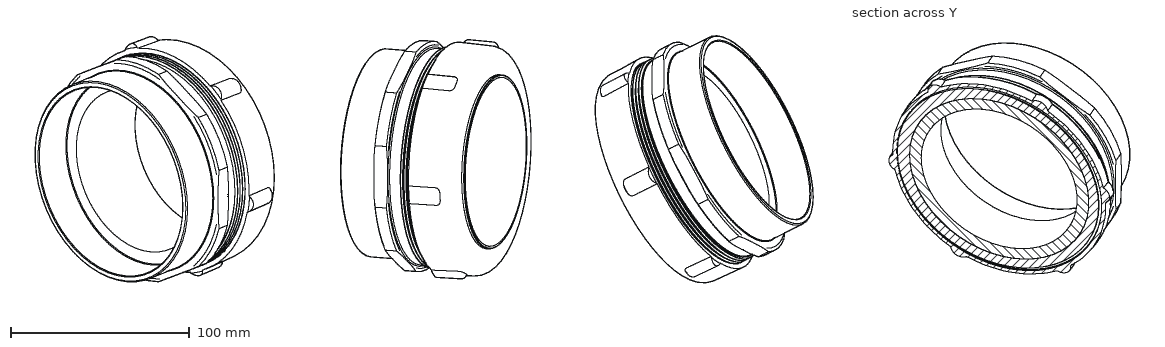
import cadquery as cq
import math


OVERALL_LENGTH = 71.0
FLANGE_START = 21.8
FLANGE_END = 30.0
NECK_CONE_LENGTH = 0.7
THREAD_START = 37.0
NUT_START = 43.8
NUT_END = 69.4
NUT_WALL = 4.0
NUT_SEAT = NUT_END - NUT_WALL
LEDGE_Y = 22.7

SPIGOT_DIA = 117.2
SPIGOT_CHAMFER = 0.7
SPIGOT_ROOT_CHAMFER = 0.4
SOCKET_DIA = 110.1
SOCKET_MOUTH_DIA = 111.0
SLEEVE_SEAT_DIA = 109.2
NECK_DIA = 121.8
NECK_CONE_DIA = 123.4
FLANGE_SIDES = 6
FLANGE_FLATS = 124.7
FLANGE_CORNER_DIA = 129.6
FLANGE_FACE_DIA = 125.8
FLANGE_CHAMFER_LENGTH = 0.7

THREAD_DIA = 124.7
THREAD_PITCH = 2.0
THREAD_ROOT_WIDTH = 1.6
THREAD_CREST_WIDTH = 0.3
THREAD_EMBED = 0.3
THREAD_TURNS = 9

SLEEVE_BORE_DIA = 95.0
SLEEVE_NOSE_DIA = 98.0
NOSE_CHAMFER = 0.4

NUT_BORE_DIA = 125.0
NUT_BASE_DIA = 130.8
NUT_SHOULDER_DIA = 129.6
NUT_FILLET = 6.8
RIB_COUNT = 6
RIB_SPACING = 360 / RIB_COUNT
FIRST_RIB_ANGLE = -7.5
RIB_TIP_X = 67.6
RIB_RADIUS = 6.1
RIB_DRAFT = 1.0
RIB_LENGTH = 18.5
RIB_FILLET = 2.7
RIB_UNDERCUT_WIDTH = 2.3
RIB_UNDERCUT_LENGTH = 1.2


def revolve_outline(points):
    """Turn a closed (radius, Y) outline around the Y axis."""
    return cq.Workplane("XY").polyline(points).close().revolve(360, (0, 0, 0), (0, 1, 0))


def make_flange():
    """Hexagonal flange with corners rounded to a circle and chamfered on both faces."""
    flange_length = FLANGE_END - FLANGE_START
    hexagon = (
        cq.Workplane("XZ", origin=(0, FLANGE_START, 0))
        .polygon(FLANGE_SIDES, FLANGE_FLATS, circumscribed=True)
        .extrude(-flange_length)
    )
    turned = revolve_outline([
        (0, FLANGE_START),
        (FLANGE_FACE_DIA / 2, FLANGE_START),
        (FLANGE_CORNER_DIA / 2, FLANGE_START + FLANGE_CHAMFER_LENGTH),
        (FLANGE_CORNER_DIA / 2, FLANGE_END - FLANGE_CHAMFER_LENGTH),
        (FLANGE_FACE_DIA / 2, FLANGE_END),
        (0, FLANGE_END),
    ])
    return hexagon.intersect(turned)


def make_thread():
    """Left-hand helical ridge on the neck, cut off square at the thread start."""
    root_radius = NECK_DIA / 2 - THREAD_EMBED
    start_y = THREAD_START - THREAD_ROOT_WIDTH / 2
    helix = cq.Wire.makeHelix(
        THREAD_PITCH, THREAD_TURNS * THREAD_PITCH, root_radius,
        center=cq.Vector(0, start_y, 0), dir=cq.Vector(0, 1, 0), lefthand=True,
    )
    start = helix.startPoint()
    radial = cq.Vector(start.x, 0, start.z).normalized()
    section_plane = cq.Plane(origin=start, xDir=radial, normal=radial.cross(cq.Vector(0, 1, 0)))
    ridge_height = THREAD_DIA / 2 - root_radius
    ridge = (
        cq.Workplane(section_plane)
        .polyline([
            (0, -THREAD_ROOT_WIDTH / 2),
            (ridge_height, -THREAD_CREST_WIDTH / 2),
            (ridge_height, THREAD_CREST_WIDTH / 2),
            (0, THREAD_ROOT_WIDTH / 2),
        ])
        .close()
        .sweep(cq.Workplane(helix), isFrenet=True)
    )
    runout = cq.Workplane("XZ", origin=(0, THREAD_START, 0)).circle(THREAD_DIA).extrude(THREAD_PITCH)
    return ridge.cut(runout)


def make_housing():
    """Spigot, flange and threaded neck with a stepped bore."""
    mouth_chamfer = (SOCKET_MOUTH_DIA - SOCKET_DIA) / 2
    ledge_chamfer = (SOCKET_DIA - SLEEVE_SEAT_DIA) / 2
    shell = revolve_outline([
        (SOCKET_MOUTH_DIA / 2, 0),
        (SPIGOT_DIA / 2 - SPIGOT_CHAMFER, 0),
        (SPIGOT_DIA / 2, SPIGOT_CHAMFER),
        (SPIGOT_DIA / 2, FLANGE_START - SPIGOT_ROOT_CHAMFER),
        (SPIGOT_DIA / 2 + SPIGOT_ROOT_CHAMFER, FLANGE_START),
        (SPIGOT_DIA / 2 + SPIGOT_ROOT_CHAMFER, FLANGE_END),
        (NECK_CONE_DIA / 2, FLANGE_END),
        (NECK_DIA / 2, FLANGE_END + NECK_CONE_LENGTH),
        (NECK_DIA / 2, NUT_SEAT),
        (SLEEVE_SEAT_DIA / 2, NUT_SEAT),
        (SLEEVE_SEAT_DIA / 2, LEDGE_Y),
        (SOCKET_DIA / 2, LEDGE_Y - ledge_chamfer),
        (SOCKET_DIA / 2, mouth_chamfer),
    ])
    wall_middle_dia = (SOCKET_DIA + SPIGOT_DIA) / 2
    flange_hole = cq.Workplane("XZ").circle(wall_middle_dia / 2).extrude(-OVERALL_LENGTH)
    return shell.union(make_flange().cut(flange_hole)).union(make_thread())


def make_sleeve():
    """Sleeve seated in the housing, with a nose that comes out through the nut."""
    return revolve_outline([
        (SLEEVE_BORE_DIA / 2, LEDGE_Y),
        (SLEEVE_SEAT_DIA / 2, LEDGE_Y),
        (SLEEVE_SEAT_DIA / 2, NUT_SEAT),
        (SLEEVE_NOSE_DIA / 2, NUT_SEAT),
        (SLEEVE_NOSE_DIA / 2, OVERALL_LENGTH - NOSE_CHAMFER),
        (SLEEVE_NOSE_DIA / 2 - NOSE_CHAMFER, OVERALL_LENGTH),
        (SLEEVE_BORE_DIA / 2, OVERALL_LENGTH),
    ])


def make_rib(angle):
    """Rounded grip rib at an angle from +X, undercut at its open end and rooted within the nut wall."""
    draft_slope = math.tan(math.radians(RIB_DRAFT))
    end_radius = RIB_RADIUS - RIB_LENGTH * draft_slope
    widest_radius = RIB_RADIUS - RIB_UNDERCUT_LENGTH * draft_slope
    center_radius = (RIB_TIP_X - widest_radius) / math.cos(math.radians(FIRST_RIB_ANGLE))
    post = cq.Workplane(cq.Solid.makeCone(
        RIB_RADIUS, end_radius, RIB_LENGTH,
        pnt=cq.Vector(center_radius, NUT_START, 0), dir=cq.Vector(0, 1, 0),
    )).faces(">Y").edges().fillet(RIB_FILLET)
    tip_radius = center_radius + widest_radius
    root_radius = (NUT_BORE_DIA + NUT_SHOULDER_DIA) / 4
    envelope = revolve_outline([
        (root_radius, NUT_START),
        (tip_radius - RIB_UNDERCUT_WIDTH, NUT_START),
        (tip_radius + RIB_UNDERCUT_WIDTH, NUT_START + 2 * RIB_UNDERCUT_LENGTH),
        (tip_radius + RIB_UNDERCUT_WIDTH, NUT_END),
        (root_radius, NUT_END),
    ])
    return post.intersect(envelope).rotate((0, 0, 0), (0, 1, 0), -angle)


def make_nut():
    """Domed nut with a slightly tapered skirt and grip ribs."""
    shoulder_y = NUT_END - NUT_FILLET
    shoulder_radius = NUT_SHOULDER_DIA / 2
    arc_center_radius = shoulder_radius - NUT_FILLET
    diagonal = NUT_FILLET * math.sqrt(0.5)
    nut = (
        cq.Workplane("XY")
        .moveTo(NUT_BORE_DIA / 2, NUT_START)
        .lineTo(NUT_BASE_DIA / 2, NUT_START)
        .lineTo(shoulder_radius, shoulder_y)
        .threePointArc((arc_center_radius + diagonal, shoulder_y + diagonal), (arc_center_radius, NUT_END))
        .lineTo(SLEEVE_NOSE_DIA / 2, NUT_END)
        .lineTo(SLEEVE_NOSE_DIA / 2, NUT_SEAT)
        .lineTo(NUT_BORE_DIA / 2, NUT_SEAT)
        .close()
        .revolve(360, (0, 0, 0), (0, 1, 0))
    )
    for index in range(RIB_COUNT):
        nut = nut.union(make_rib(FIRST_RIB_ANGLE + index * RIB_SPACING))
    return nut


housing = make_housing()
sleeve = make_sleeve()
nut = make_nut()
result = cq.Compound.makeCompound([housing.solids().val(), sleeve.solids().val(), nut.solids().val()])